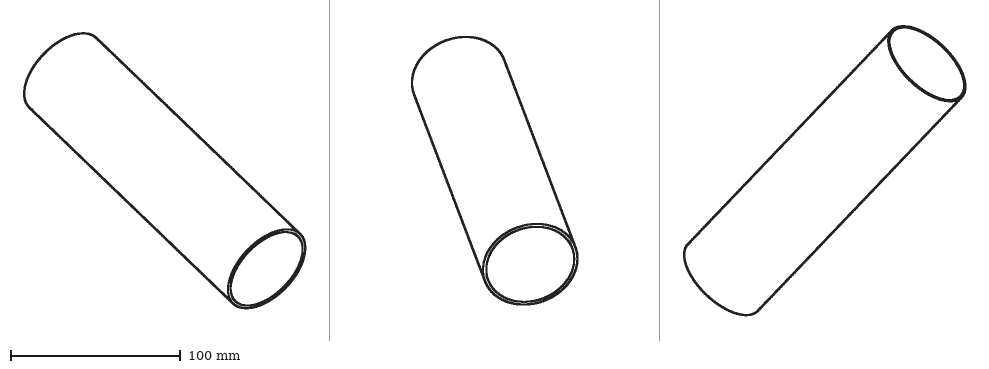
import cadquery as cq

length = 200.0
outer_diameter = 57.0
bore_diameter = 53.0
mouth_diameter = 55.0
flare_depth = 12.0

outer_radius = outer_diameter / 2
bore_radius = bore_diameter / 2
mouth_radius = mouth_diameter / 2

wall_section = (
    cq.Workplane("XY")
    .moveTo(0, mouth_radius)
    .lineTo(flare_depth, bore_radius)
    .lineTo(length, bore_radius)
    .lineTo(length, outer_radius)
    .lineTo(0, outer_radius)
    .close()
)

result = wall_section.revolve(360, (0, 0, 0), (1, 0, 0))